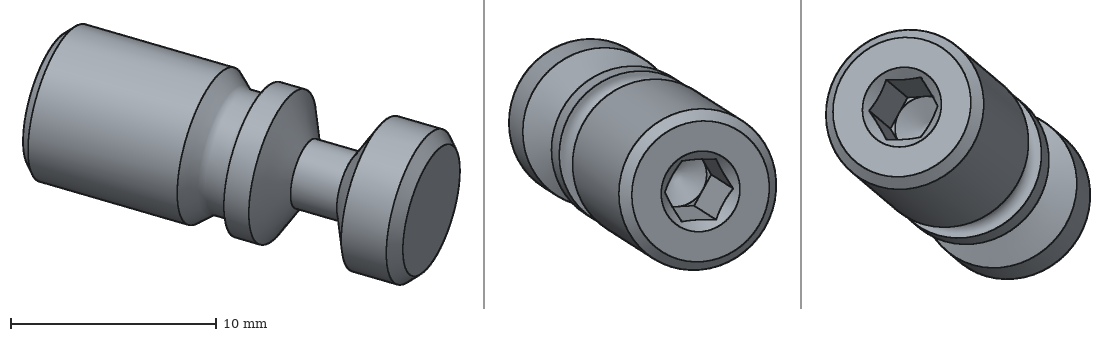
import cadquery as cq
import math

length = 20.3
body_radius = 8.0 / 2
neck_radius = 6.4 / 2
collar_radius = 7.9 / 2
pin_radius = 3.55 / 2

body_chamfer = 0.5
head_chamfer = 0.6

body_end = 8.5
collar_start = 10.98
collar_end = 12.32
pin_start = 13.56
pin_end = 16.04
head_start = 17.28

groove_radius = 0.53
groove_angle = math.radians(40)

hex_across_flats = 3.0
hex_depth = 4.05
countersink_radius = body_radius / 2
countersink_angle = math.radians(45)
drill_tip_angle = math.radians(60)


def turned_blank():
    """Revolve the outer profile around the X axis."""
    arc_drop = groove_radius * (1 - math.cos(groove_angle))
    cone_end_radius = neck_radius + arc_drop
    cone_end = body_end + (body_radius - cone_end_radius) / math.tan(groove_angle)
    neck_start = cone_end + groove_radius * math.sin(groove_angle)
    neck_end = collar_start - groove_radius
    half_angle = groove_angle / 2
    cone_arc_middle = (
        neck_start - groove_radius * math.sin(half_angle),
        neck_radius + groove_radius * (1 - math.cos(half_angle)),
    )
    collar_arc_middle = (
        neck_end + groove_radius * math.sin(math.pi / 4),
        neck_radius + groove_radius * (1 - math.cos(math.pi / 4)),
    )
    profile = (
        cq.Workplane("XY")
        .moveTo(0, 0)
        .lineTo(0, body_radius - body_chamfer)
        .lineTo(body_chamfer, body_radius)
        .lineTo(body_end, body_radius)
        .lineTo(cone_end, cone_end_radius)
        .threePointArc(cone_arc_middle, (neck_start, neck_radius))
        .lineTo(neck_end, neck_radius)
        .threePointArc(collar_arc_middle, (collar_start, neck_radius + groove_radius))
        .lineTo(collar_start, collar_radius)
        .lineTo(collar_end, collar_radius)
        .lineTo(pin_start, pin_radius)
        .lineTo(pin_end, pin_radius)
        .lineTo(head_start, collar_radius)
        .lineTo(length - head_chamfer, collar_radius)
        .lineTo(length, collar_radius - head_chamfer)
        .lineTo(length, 0)
        .close()
    )
    return profile.revolve(360, (0, 0, 0), (1, 0, 0))


def cone_along_x(base_x, base_radius, half_angle):
    """Solid cone whose base faces -X and whose tip points to +X."""
    height = base_radius / math.tan(half_angle)
    return cq.Workplane(
        cq.Solid.makeCone(base_radius, 0, height, cq.Vector(base_x, 0, 0), cq.Vector(1, 0, 0))
    )


def hex_socket():
    """Hexagon with two corners on the Y axis, a countersunk mouth and a conical bottom."""
    across_corners = hex_across_flats / math.cos(math.pi / 6)
    hexagon = cq.Workplane("YZ").polygon(6, across_corners).extrude(hex_depth)
    countersink = cone_along_x(0, countersink_radius, countersink_angle)
    drill_tip = cone_along_x(hex_depth, hex_across_flats / 2, drill_tip_angle)
    return hexagon.union(countersink).union(drill_tip)


result = turned_blank().cut(hex_socket())